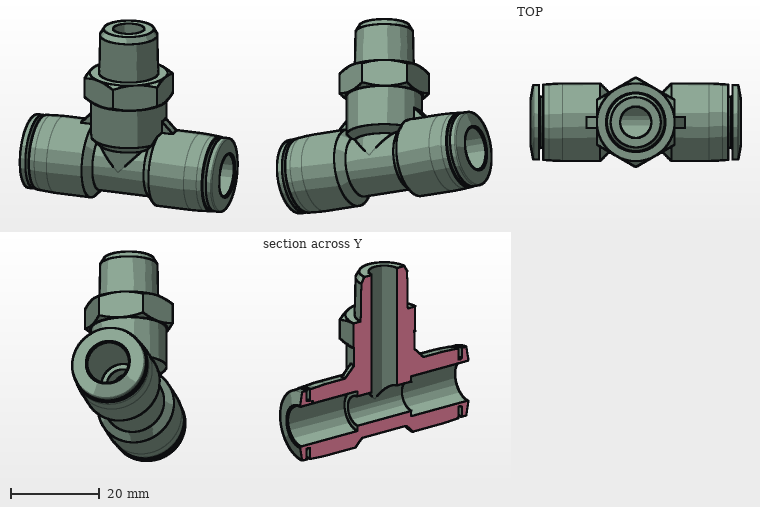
import cadquery as cq
import math

half_length = 23.7
sleeve_radius = 17.5 / 2
sleeve_end_radius = 17.0 / 2
waist_radius = 6.85
waist_half_length = 6.15
sleeve_start = waist_half_length + sleeve_radius - waist_radius
crown_start = 16.5
end_band_start = 19.5
end_band_radius = 8.6
sleeve_end = 20.9
sleeve_end_chamfer = 0.15

neck_radius = 11.5 / 2
neck_flare_radius = 5.92
neck_flare_start = 21.42
collar_start = 21.7
collar_radius = 16.8 / 2
collar_rim_end = 22.85
face_cone_radius = 8.15
face_cone_start = 23.15

bore_radius = 7.0 / 2
socket_radius = 9.55 / 2
socket_bottom = 7.6
socket_chamfer = 0.3

stem_radius = 17.0 / 2
stem_cone_top = 6.55
nut_bottom = 15.5
nut_top = 21.5
nut_across_flats = 17.5
nut_chamfer_angle = 30.0
thread_base_radius = 6.7
thread_end_radius = 6.5
thread_end = 30.55
tip_radius = 5.65
stem_top = 40.75 - sleeve_radius

gusset_width = 2.45
gusset_reach = 11.05


def half_run():
    """Waist, sleeve and collar on the +X side, as one turned solid."""
    return (
        cq.Workplane("XY")
        .lineTo(0, waist_radius)
        .lineTo(waist_half_length, waist_radius)
        .lineTo(sleeve_start, sleeve_radius)
        .lineTo(crown_start, sleeve_radius)
        .tangentArcPoint((end_band_start, end_band_radius), relative=False)
        .lineTo(sleeve_end - sleeve_end_chamfer, sleeve_end_radius)
        .lineTo(sleeve_end, sleeve_end_radius - sleeve_end_chamfer)
        .lineTo(sleeve_end, neck_radius)
        .lineTo(neck_flare_start, neck_radius)
        .lineTo(collar_start, neck_flare_radius)
        .lineTo(collar_start, collar_radius)
        .lineTo(collar_rim_end, collar_radius)
        .tangentArcPoint((face_cone_start, face_cone_radius), relative=False)
        .lineTo(half_length, socket_radius + socket_chamfer)
        .lineTo(half_length, 0)
        .close()
        .revolve(360, (0, 0, 0), (1, 0, 0))
    )


def half_run_bore():
    """Through bore, tube socket and its chamfered mouth on the +X side."""
    return (
        cq.Workplane("XY")
        .lineTo(0, bore_radius)
        .lineTo(socket_bottom, bore_radius)
        .lineTo(socket_bottom, socket_radius)
        .lineTo(half_length - socket_chamfer, socket_radius)
        .lineTo(half_length, socket_radius + socket_chamfer)
        .lineTo(half_length, 0)
        .close()
        .revolve(360, (0, 0, 0), (1, 0, 0))
    )


def stem():
    """Branch body and threaded end; its foot mitres with the waist."""
    cone_bottom = stem_cone_top - (stem_radius - waist_radius)
    return (
        cq.Workplane("XZ")
        .lineTo(waist_radius, 0)
        .lineTo(waist_radius, cone_bottom)
        .lineTo(stem_radius, stem_cone_top)
        .lineTo(stem_radius, nut_bottom)
        .lineTo(thread_base_radius, nut_top)
        .lineTo(thread_end_radius, thread_end)
        .lineTo(tip_radius, stem_top)
        .lineTo(0, stem_top)
        .close()
        .revolve(360, (0, 0, 0), (0, 1, 0))
    )


def nut():
    """Hexagon with flats facing X and both ends turned to a chamfer."""
    flat_radius = nut_across_flats / 2
    corner_radius = flat_radius / math.cos(math.radians(30))
    chamfer_height = (corner_radius - flat_radius) * math.tan(math.radians(nut_chamfer_angle))
    hexagon = (
        cq.Workplane("XY", origin=(0, 0, nut_bottom))
        .transformed(rotate=(0, 0, 30))
        .polygon(6, 2 * corner_radius)
        .extrude(nut_top - nut_bottom)
    )
    turned_envelope = (
        cq.Workplane("XZ")
        .moveTo(0, nut_bottom)
        .lineTo(flat_radius, nut_bottom)
        .lineTo(corner_radius, nut_bottom + chamfer_height)
        .lineTo(corner_radius, nut_top - chamfer_height)
        .lineTo(flat_radius, nut_top)
        .lineTo(0, nut_top)
        .close()
        .revolve(360, (0, 0, 0), (0, 1, 0))
    )
    return hexagon.intersect(turned_envelope)


def gussets():
    """Triangular web, 45 degrees each side, passing through the stem."""
    peak = sleeve_radius + gusset_reach
    return (
        cq.Workplane("XZ")
        .moveTo(-gusset_reach, sleeve_radius)
        .lineTo(-gusset_reach, waist_radius)
        .lineTo(gusset_reach, waist_radius)
        .lineTo(gusset_reach, sleeve_radius)
        .lineTo(0, peak)
        .close()
        .extrude(gusset_width / 2, both=True)
    )


run = half_run().union(half_run().mirror("YZ"))
body = run.union(stem()).union(gussets()).union(nut())

stem_bore = cq.Workplane("XY").circle(bore_radius).extrude(stem_top)
run_bore = half_run_bore().union(half_run_bore().mirror("YZ"))
result = body.cut(run_bore).cut(stem_bore)